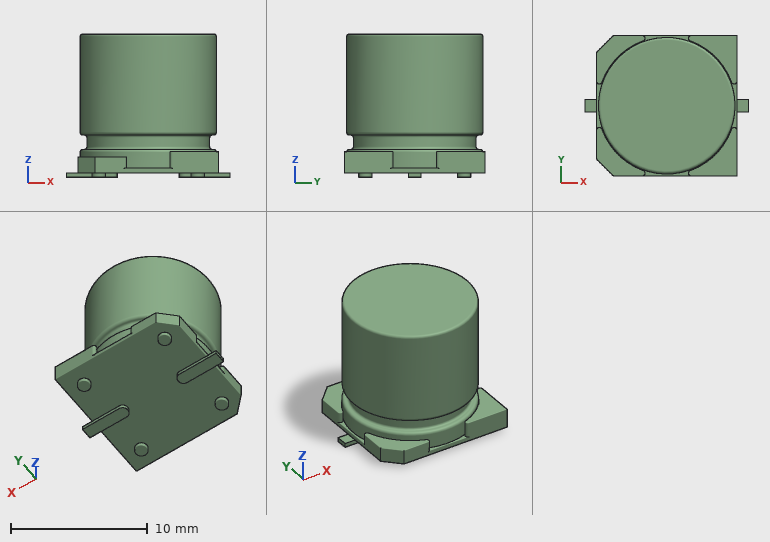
import cadquery as cq
import math

can_radius = 10.0 / 2
neck_radius = 9 / 2
can_top = 10.5
can_rim_fillet = 0.2
neck_top = 3.1
neck_bottom = 2.06
shoulder_fillet = 0.23
neck_fillet = 0.18

base_half = 10.3 / 2
base_bottom = 0.32
floor_top = 0.7
low_post_top = 1.5
high_post_top = 1.9
post_clearance = 0.05
corner_cut = 1.25
nose_offset = 1.8
edge_round = 0.05

lead_reach = 12 / 2
lead_inner = 2.27
lead_width = 0.95
lead_thickness = 0.34
lead_end_fillet = 0.45
foot_diameter = 1.0
foot_offset = 3.61
foot_edge_round = 0.05

can_bottom = base_bottom + edge_round

pocket_radius = can_radius + post_clearance
nose_radius = (nose_offset**2 + base_half**2 - pocket_radius**2) / (2 * (base_half + pocket_radius))


def quarter_round(profile, centre_x, centre_z, start_angle, radius, turn):
    """Add a quarter arc about the centre to the profile; turn is +90 or -90 degrees."""
    def on_arc(angle):
        angle = math.radians(angle)
        return (centre_x + radius * math.cos(angle), centre_z + radius * math.sin(angle))

    profile = profile.lineTo(*on_arc(start_angle))
    return profile.threePointArc(on_arc(start_angle + turn / 2), on_arc(start_angle + turn))


def make_can():
    """Can with its crimped neck, turned about Z and sunk into the base plate."""
    shoulder_centre = can_radius - shoulder_fillet
    neck_centre = neck_radius + neck_fillet
    profile = cq.Workplane("XZ").moveTo(0, can_bottom).lineTo(can_radius, can_bottom)
    profile = quarter_round(profile, shoulder_centre, neck_bottom - shoulder_fillet, 0, shoulder_fillet, 90)
    profile = quarter_round(profile, neck_centre, neck_bottom + neck_fillet, 270, neck_fillet, -90)
    profile = quarter_round(profile, neck_centre, neck_top - neck_fillet, 180, neck_fillet, -90)
    profile = quarter_round(profile, shoulder_centre, neck_top + shoulder_fillet, 270, shoulder_fillet, 90)
    profile = profile.lineTo(can_radius, can_top).lineTo(0, can_top).close()
    can = profile.revolve(360, (0, 0, 0), (0, 1, 0))
    return can.faces(">Z").edges().fillet(can_rim_fillet)


def make_plate():
    """Thin square plate, cut at its two -X corners, with rounded edges."""
    plate = cq.Workplane("XY").workplane(offset=base_bottom)
    plate = plate.rect(2 * base_half, 2 * base_half).extrude(floor_top - base_bottom)
    plate = plate.edges("|Z and <X").chamfer(corner_cut)
    plate = plate.edges("|Z and >X").fillet(edge_round)
    return plate.faces("<Z or >Z").edges().fillet(edge_round)


def make_post(top, cut_corner):
    """Corner post in the +X +Y quadrant, between the base sides and the pocket around the can."""
    nose_centre = base_half - nose_radius
    nose_tip = nose_offset - nose_radius
    tangent = pocket_radius / (pocket_radius + nose_radius)
    near = nose_offset * tangent
    far = nose_centre * tangent
    pocket_diagonal = pocket_radius * math.sqrt(0.5)
    bottom = base_bottom + edge_round
    post = (
        cq.Workplane("XY").workplane(offset=bottom)
        .moveTo(nose_offset, base_half)
        .lineTo(base_half, base_half)
        .lineTo(base_half, nose_offset)
        .threePointArc((nose_centre, nose_tip), (far, near))
        .threePointArc((pocket_diagonal, pocket_diagonal), (near, far))
        .threePointArc((nose_tip, nose_centre), (nose_offset, base_half))
        .close().extrude(top - bottom)
    )
    corner_middle = (base_half, base_half, (top + bottom) / 2)
    corner = post.edges(cq.selectors.NearestToPointSelector(corner_middle))
    post = corner.chamfer(corner_cut) if cut_corner else corner.fillet(edge_round)
    return post.faces(">Z").edges().fillet(edge_round)


def make_lead():
    """Flat terminal on the +X side, with a rounded inner end."""
    length = lead_reach - lead_inner
    lead = cq.Workplane("XY").box(length, lead_width, lead_thickness, centered=(False, True, False))
    return lead.edges("|Z and <X").fillet(lead_end_fillet).translate((lead_inner, 0, 0))


def make_feet():
    """Four round feet under the base."""
    feet = (
        cq.Workplane("XY")
        .rect(2 * foot_offset, 2 * foot_offset, forConstruction=True).vertices()
        .circle(foot_diameter / 2).extrude(base_bottom)
    )
    return feet.faces("<Z").edges().fillet(foot_edge_round)


high_post = make_post(high_post_top, cut_corner=False)
low_post = make_post(low_post_top, cut_corner=True).mirror("YZ")
lead = make_lead()

result = make_plate().union(make_can())
for post in (high_post, low_post):
    result = result.union(post).union(post.mirror("XZ"))
result = result.union(lead).union(lead.mirror("YZ")).union(make_feet()).clean()